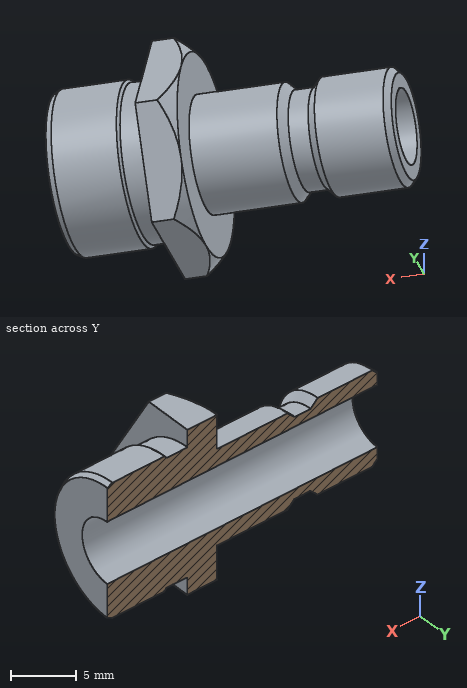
import cadquery as cq
import math

total_length = 27.0
bore_diameter = 6.0

spigot_diameter = 9.4
spigot_chamfer = 0.5
groove_start = 6.0
groove_end = 9.0
groove_diameter = 8.0

hex_start = 16.0
hex_thickness = 3.0
hex_across_flats = 16.0
hex_across_corners = hex_across_flats / math.cos(math.radians(30))

neck_diameter = 12.64
thread_diameter = 13.15
thread_start = 21.05
thread_lead_in = 0.22
tip_chamfer_length = 0.5
tip_diameter = 12.6

hex_end = hex_start + hex_thickness


def make_turned_body():
    """Outer profile revolved about X, without the collar."""
    spigot_radius = spigot_diameter / 2
    groove_radius = groove_diameter / 2
    groove_depth = spigot_radius - groove_radius
    neck_radius = neck_diameter / 2
    thread_radius = thread_diameter / 2
    profile = [
        (0, 0),
        (0, spigot_radius - spigot_chamfer),
        (spigot_chamfer, spigot_radius),
        (groove_start, spigot_radius),
        (groove_start + groove_depth, groove_radius),
        (groove_end - groove_depth, groove_radius),
        (groove_end, spigot_radius),
        (hex_end, spigot_radius),
        (hex_end, neck_radius),
        (thread_start, neck_radius),
        (thread_start + thread_lead_in, thread_radius),
        (total_length - tip_chamfer_length, thread_radius),
        (total_length, tip_diameter / 2),
        (total_length, 0),
    ]
    return cq.Workplane("XY").polyline(profile).close().revolve(360, (0, 0, 0), (1, 0, 0))


def make_hex_collar():
    """Hexagon whose corners are turned off at 45 degrees on the spigot side."""
    prism = (
        cq.Workplane("YZ")
        .workplane(offset=hex_start)
        .polygon(6, hex_across_corners)
        .extrude(hex_thickness)
    )
    face_radius = hex_across_flats / 2
    cone = (
        cq.Workplane("XY")
        .polyline([
            (hex_start, 0),
            (hex_start, face_radius),
            (hex_end, face_radius + hex_thickness),
            (hex_end, 0),
        ])
        .close()
        .revolve(360, (0, 0, 0), (1, 0, 0))
    )
    return prism.intersect(cone)


def make_bore():
    """Straight passage through the full length."""
    return cq.Workplane("YZ").circle(bore_diameter / 2).extrude(total_length)


result = make_turned_body().union(make_hex_collar()).cut(make_bore())